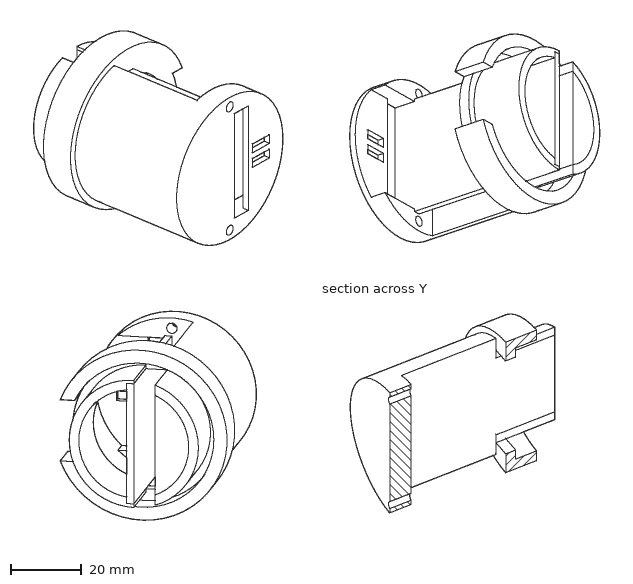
import cadquery as cq
import math

total_length = 57.2
collar_front = 9.15
collar_back = 19.3
floor_front = 16.0
end_wall_front = 50.2
recess_floor = 55.2

ring_radius = 50.0 / 2
ring_bore_radius = 21.15
boss_radius = 18.7
core_radius = 15.9
barrel_radius = 46.0 / 2
screw_hole_diameter = 3.0

slot_edge = -6.2
plate_thickness = 2.05
notch_height = 17.95
recess_height = 33.75
window_edge = 8.0
vent_near_edge = 9.9
vent_far_edge = 17.15
vent_height = 2.8
vent_center_z = 2.35

plate_height = 2 * math.sqrt(boss_radius**2 - slot_edge**2)
screw_hole_z = (recess_height / 2 + barrel_radius) / 2
clear_size = 2 * ring_radius


def cylinder(radius, x_start, x_end):
    """Cylinder around the X axis."""
    return cq.Workplane("YZ").workplane(offset=x_start).circle(radius).extrude(x_end - x_start)


def block(x_start, x_end, y_start, y_end, height, z_center=0.0):
    """Box between X and Y limits, centred in Z on z_center."""
    return cq.Workplane("XY").box(
        x_end - x_start, y_end - y_start, height, centered=(False, False, True)
    ).translate((x_start, y_start, z_center))


def make_collar():
    """Notched ring with a slotted boss tube standing on its annular floor."""
    ring = cylinder(ring_radius, collar_front, collar_back)
    ring = ring.cut(cylinder(ring_bore_radius, collar_front, floor_front))
    boss = cylinder(boss_radius, 0, collar_back)
    boss_gap = block(0, floor_front, slot_edge, 0, clear_size)
    collar = ring.union(boss.cut(boss_gap))

    collar = collar.cut(cylinder(core_radius, 0, collar_back))
    collar = collar.cut(block(0, collar_back, slot_edge, plate_thickness, plate_height))

    notch = block(collar_front, collar_back, 0, ring_radius, notch_height)
    return collar.cut(notch.cut(cylinder(ring_bore_radius, collar_front, collar_back)))


def make_end_wall():
    """Round end wall with a recess, window, vents and screw holes."""
    wall = cylinder(barrel_radius, end_wall_front, total_length)
    wall = wall.cut(block(end_wall_front, recess_floor, plate_thickness, ring_radius, recess_height))
    wall = wall.cut(block(recess_floor, total_length, plate_thickness, window_edge, recess_height))
    for side in (-1, 1):
        vent = block(
            recess_floor, total_length, vent_near_edge, vent_far_edge, vent_height, side * vent_center_z
        )
        screw_hole = cylinder(screw_hole_diameter / 2, end_wall_front, total_length)
        wall = wall.cut(vent).cut(screw_hole.translate((0, 0, side * screw_hole_z)))
    return wall


def make_barrel():
    """Flat-sided barrel with a core inside the collar, a long plate and the end wall."""
    core = cylinder(core_radius, 0, collar_back)
    shell = cylinder(barrel_radius, collar_back, end_wall_front)
    flat_side = block(0, end_wall_front, slot_edge, ring_radius, clear_size)
    plate = block(0, end_wall_front, 0, plate_thickness, plate_height)
    return core.union(shell).cut(flat_side).union(make_end_wall()).union(plate)


collar = make_collar()
barrel = make_barrel()
result = cq.Compound.makeCompound([collar.val(), barrel.val()])